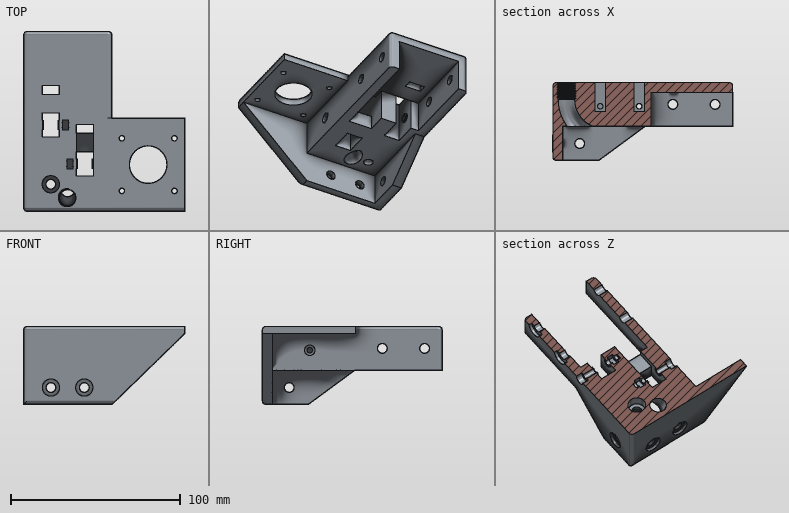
import cadquery as cq

length_x = 95.0
length_y = 106.0
height = 46.0

wall = 6.0
arm_width = 52.0
arm_depth = 26.0
arm_bottom = height - arm_depth
motor_plate_thickness = 4.2
motor_plate_width = 54.9
side_wall_foot = 27.1
side_wall_top = 54.4
edge_radius = 2.2

slot_width = 10.0
idler_slot_length = 14.1
belt_slot_length = 5.1
belt_gap = 11.0
idler_axis_z = height - 14.1
outer_lane_x = 16.0
inner_lane_x = 36.0
outer_idler_y = 50.9
inner_idler_y = 28.0
boss_diameter = 5.5
boss_height = 0.6
axle_diameter = 3.2
axle_head_diameter = 6.1
axle_head_depth = 4.0
nut_width = 6.0
nut_thickness = 3.6
nut_wall = 1.9
nut_floor_z = idler_axis_z - nut_width / 2
axle_overrun = 2.1

screw_diameter = 5.6
head_diameter = 10.2
head_depth = 2.0
top_screw_xy = (16.0, 16.0)
rail_screw_z = 10.0
front_screw_x = (16.1, 35.7)
side_screw_y = 15.9
arm_screw_y = (70.7, 95.6)
arm_screw_z = height - arm_depth / 2

motor_x = 73.4
motor_y = 27.6
motor_opening_diameter = 21.9
motor_screw_spacing = 31.0
motor_screw_diameter = 3.1

thread_x = 26.0
thread_y = 8.1
thread_crest_diameter = 9.6
thread_root_diameter = 11.0
thread_pitch = 1.5
thread_groove_width = 1.4
thread_depth = 10.0
thread_start_angle = 330
thread_overlap = 0.2
cable_bore_diameter = 9.4
cable_bend_radius = 21.9
cable_bend_angle = 75


def box(x, y, z):
    """Box spanning the given (start, end) pairs."""
    size = (x[1] - x[0], y[1] - y[0], z[1] - z[0])
    return cq.Workplane("XY").box(*size, centered=False).translate((x[0], y[0], z[0]))


def cylinder(start, direction, diameter, length):
    solid = cq.Solid.makeCylinder(diameter / 2, length, cq.Vector(*start), cq.Vector(*direction))
    return cq.Workplane(solid)


def screw_hole(start, direction, length, recess_depth):
    """Through hole with a counterbore for the screw head at its start."""
    hole = cylinder(start, direction, screw_diameter, length)
    return hole.union(cylinder(start, direction, head_diameter, recess_depth))


def make_outer_block():
    """Two overlapping blocks forming an L, with the exposed edges rounded."""
    front = box((0, length_x), (0, motor_plate_width), (0, height))
    front = front.edges("(|Z and <X and <Y) or (|X and <Y) or (|Y and <X and >Z)").fillet(edge_radius)
    arm = box((0, arm_width), (wall, length_y), (0, height))
    arm = arm.edges("(|Z and >Y) or (|X and >Y and >Z) or (|Y and >Z)").fillet(edge_radius)
    return front.union(arm)


def carve_underside(body):
    """Leave the motor plate, the arm and the tapered front and side walls."""
    plate_bottom = height - motor_plate_thickness
    motor_bay = box((arm_width, length_x), (wall, length_y), (0, plate_bottom))
    under_arm = box((wall, arm_width), (wall, length_y), (0, arm_bottom))
    front_taper = (
        cq.Workplane("XZ")
        .polyline([(arm_width, 0), (length_x, plate_bottom), (length_x, 0)])
        .close()
        .extrude(-wall)
    )
    side_taper = (
        cq.Workplane("YZ")
        .moveTo(side_wall_foot, 0)
        .lineTo(side_wall_top, arm_bottom)
        .lineTo(length_y, arm_bottom)
        .lineTo(length_y, 0)
        .close()
        .extrude(wall)
    )
    return body.cut(motor_bay).cut(under_arm).cut(front_taper).cut(side_taper)


def idler_slot_end(idler_y):
    return idler_y + idler_slot_length / 2


def carve_rail_channel(body):
    """Channel open below and at the +Y end; it reaches further forward beside the inner lane."""
    channel_z = (arm_bottom, height - wall)
    inner_wall_x = arm_width - wall
    outer_start = idler_slot_end(outer_idler_y)
    inner_start = idler_slot_end(inner_idler_y) + belt_gap
    step_x = inner_lane_x - slot_width / 2
    body = body.cut(box((wall, inner_wall_x), (outer_start, length_y), channel_z))
    return body.cut(box((step_x, inner_wall_x), (inner_start, length_y), channel_z))


def slot(lane_x, start_y, length, bottom_z):
    x_range = (lane_x - slot_width / 2, lane_x + slot_width / 2)
    return box(x_range, (start_y, start_y + length), (bottom_z, height))


def cut_idler(body, lane_x, idler_y):
    """Idler slot with its two bosses, and the belt slot behind it."""
    body = body.cut(slot(lane_x, idler_y - idler_slot_length / 2, idler_slot_length, 0))
    body = body.cut(slot(lane_x, idler_slot_end(idler_y) + belt_gap, belt_slot_length, 0))
    for side in (-1, 1):
        slot_face = (lane_x + side * slot_width / 2, idler_y, idler_axis_z)
        body = body.union(cylinder(slot_face, (-side, 0, 0), boss_diameter, boss_height))
    return body


def cut_belt_passage(body):
    """Open pocket joining the idler slot and the belt slot of the inner lane."""
    return body.cut(slot(inner_lane_x, idler_slot_end(inner_idler_y), belt_gap, nut_floor_z))


def cut_axle(body, lane_x, idler_y, outer_x, direction):
    """Axle screw running along X from an outer face, past the idler slot, into a nut pocket."""
    near_x = lane_x + direction * (slot_width / 2 + nut_wall)
    far_x = near_x + direction * nut_thickness
    nut_x = (min(near_x, far_x), max(near_x, far_x))
    nut_y = (idler_y - nut_width / 2, idler_y + nut_width / 2)
    body = body.cut(box(nut_x, nut_y, (nut_floor_z, height)))
    start = (outer_x, idler_y, idler_axis_z)
    axle_length = abs(far_x - outer_x) + axle_overrun
    body = body.cut(cylinder(start, (direction, 0, 0), axle_diameter, axle_length))
    return body.cut(cylinder(start, (direction, 0, 0), axle_head_diameter, axle_head_depth))


def cut_mounting_screws(body):
    for x in front_screw_x:
        body = body.cut(screw_hole((x, 0, rail_screw_z), (0, 1, 0), wall, head_depth))
    body = body.cut(screw_hole((0, side_screw_y, rail_screw_z), (1, 0, 0), wall, head_depth))
    for y in arm_screw_y:
        body = body.cut(screw_hole((0, y, arm_screw_z), (1, 0, 0), arm_width, head_depth))
    top_recess = arm_depth - wall
    return body.cut(screw_hole((*top_screw_xy, height), (0, 0, -1), arm_depth, top_recess))


def cut_motor_mount(body):
    centre = cq.Workplane("XY").center(motor_x, motor_y)
    opening = centre.circle(motor_opening_diameter / 2).extrude(height)
    screws = (
        centre.rect(motor_screw_spacing, motor_screw_spacing, forConstruction=True)
        .vertices()
        .circle(motor_screw_diameter / 2)
        .extrude(height)
    )
    return body.cut(opening).cut(screws)


def cut_threaded_hole(body):
    """Upright helical thread opening into a cable bore that bends toward +Y."""
    crest_radius = thread_crest_diameter / 2
    root_radius = thread_root_diameter / 2
    inside_radius = crest_radius - thread_overlap
    half_groove = thread_groove_width / 2
    helix = cq.Wire.makeHelix(thread_pitch, thread_depth + thread_pitch, crest_radius)
    groove = (
        cq.Workplane("XZ")
        .polyline([(inside_radius, -half_groove), (root_radius, 0), (inside_radius, half_groove)])
        .close()
        .sweep(cq.Workplane(helix), isFrenet=True)
        .rotate((0, 0, 0), (0, 0, 1), thread_start_angle)
        .translate((thread_x, thread_y, height - thread_depth))
    )
    core = cylinder((thread_x, thread_y, height), (0, 0, -1), thread_crest_diameter, thread_depth)
    bend_start = cq.Plane(origin=(thread_x, thread_y, height - thread_depth))
    bend = (
        cq.Workplane(bend_start)
        .circle(cable_bore_diameter / 2)
        .revolve(cable_bend_angle, (0, cable_bend_radius), (1, cable_bend_radius))
    )
    return body.cut(groove).cut(core).cut(bend)


result = make_outer_block()
result = carve_underside(result)
result = carve_rail_channel(result)
result = cut_idler(result, outer_lane_x, outer_idler_y)
result = cut_idler(result, inner_lane_x, inner_idler_y)
result = cut_belt_passage(result)
result = cut_axle(result, outer_lane_x, outer_idler_y, 0, 1)
result = cut_axle(result, inner_lane_x, inner_idler_y, arm_width, -1)
result = cut_mounting_screws(result)
result = cut_motor_mount(result)
result = cut_threaded_hole(result)